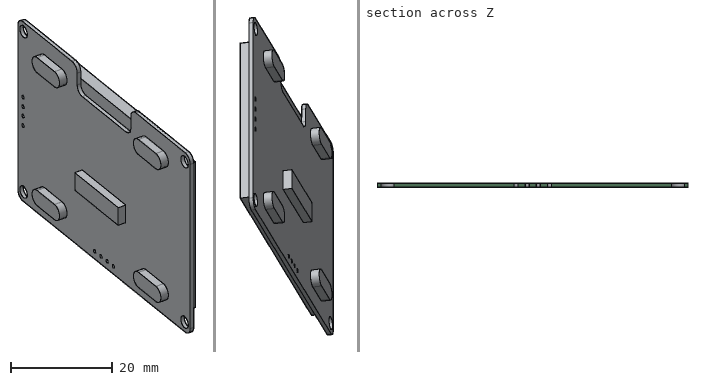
import cadquery as cq

board_width = 61.5
board_height = 42.15
board_thickness = 0.85
corner_radius = 1.8

notch_width = 19.15
notch_depth = 6.35

mount_hole_diameter = 2.6
mount_hole_spacing_x = 57.45
mount_hole_spacing_z = 37.65

pin_hole_diameter = 0.75
pin_pitch = 2.2
pin_count = 4
side_row_x = -28.9
bottom_row_z = -19.25

front_height = 1.8
pad_length = 9.8
pad_width = 3.55
pad_spacing_x = 36.2
pad_spacing_z = 31.2
connector_width = 15.5
connector_height = 4.1
connector_center_z = -4.55

slab_thickness = 2.7
slab_width = 54.75
slab_bottom = -17.35
slab_shoulder = 16.8
slab_top = 17.7
step_width = 33.4

board_back = board_thickness
board_top = board_height / 2


def plane_at(y):
    """Workplane at the given Y whose normal points to -Y (local x = X, local y = Z)."""
    return cq.Workplane("XZ", origin=(0, y, 0))


def make_board():
    board = plane_at(board_back).rect(board_width, board_height).extrude(board_thickness)
    notch = (
        plane_at(board_back)
        .center(0, board_top)
        .rect(notch_width, 2 * notch_depth)
        .extrude(board_thickness)
    )
    return board.cut(notch).edges("|Y").fillet(corner_radius)


def make_holes():
    mounts = (
        plane_at(board_back)
        .rect(mount_hole_spacing_x, mount_hole_spacing_z, forConstruction=True)
        .vertices()
        .circle(mount_hole_diameter / 2)
        .extrude(board_thickness)
    )
    offsets = [(i - (pin_count - 1) / 2) * pin_pitch for i in range(pin_count)]
    pin_points = [(side_row_x, offset) for offset in offsets]
    pin_points += [(offset, bottom_row_z) for offset in offsets]
    pins = (
        plane_at(board_back)
        .pushPoints(pin_points)
        .circle(pin_hole_diameter / 2)
        .extrude(board_thickness)
    )
    return mounts.add(pins).combine()


def make_front_blocks():
    pads = (
        plane_at(0)
        .rect(pad_spacing_x, pad_spacing_z, forConstruction=True)
        .vertices()
        .slot2D(pad_length, pad_width)
        .extrude(front_height)
    )
    connector = (
        plane_at(0)
        .center(0, connector_center_z)
        .rect(connector_width, connector_height)
        .extrude(front_height)
    )
    return pads.add(connector).combine()


def make_slab():
    half_step = step_width / 2
    half_slab = slab_width / 2
    outline = [
        (-half_slab, slab_bottom),
        (half_slab, slab_bottom),
        (half_slab, slab_shoulder),
        (half_step, slab_shoulder),
        (half_step, slab_top),
        (-half_step, slab_top),
        (-half_step, slab_shoulder),
        (-half_slab, slab_shoulder),
    ]
    return plane_at(board_back).polyline(outline).close().extrude(-slab_thickness)


result = make_board().cut(make_holes()).union(make_front_blocks()).union(make_slab())